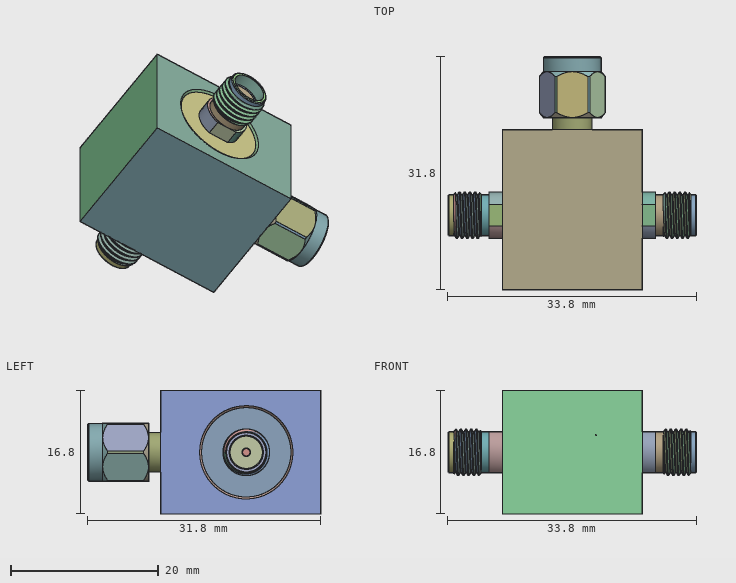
import cadquery as cq
import math

BODY_LENGTH = 19.05
BODY_DEPTH = 21.82
BODY_HEIGHT = 16.82
BODY_FRONT = 10.17

RECESS_RADIUS = 6.35
RECESS_DEPTH = 0.27

ROOT_OVERLAP = 0.68

OVERALL_LENGTH = 33.78
THREAD_RADIUS = 3.18
CORE_RADIUS = 2.8
TIP_CHAMFER = 0.15
COLLAR_END = 11.35
COLLAR_ACROSS_FLATS = 5.6
THREAD_START = 12.33
THREAD_END = 16.18
THREAD_PITCH = 0.7
THREAD_BASE = 0.57
THREAD_CREST = 0.15
THREAD_SINK = 0.07

BORE_RADIUS = 2.33
BORE_DEPTH = 1.85
BORE_FLOOR_CHAMFER = 0.15
CONTACT_RADIUS = 0.5
CONTACT_DEPTH = 1.0
CONTACT_CHAMFER = 0.07

PLUG_LENGTH = 9.93
NECK_RADIUS = 2.7
NUT_START = 1.6
NUT_END = 7.95
NUT_ACROSS_FLATS = 7.95
NUT_CORNER_RADIUS = 4.5
NUT_FACE_RADIUS = 3.92
NUT_CHAMFER_LENGTH = 0.7
SLEEVE_RADIUS = 3.95
SLEEVE_CHAMFER = 0.17

BODY_FACE = BODY_LENGTH / 2
BODY_BACK = BODY_DEPTH - BODY_FRONT
CONNECTOR_END = OVERALL_LENGTH / 2


def revolve_about_x(points):
    """Revolve a closed outline of (x, radius) points about the X axis."""
    return cq.Workplane("XY").polyline(points).close().revolve(360, (0, 0, 0), (1, 0, 0))


def revolve_about_y(points):
    """Revolve a closed outline of (radius, y) points about the Y axis."""
    return cq.Workplane("XY").polyline(points).close().revolve(360, (0, 0, 0), (0, 1, 0))


def make_body():
    body = cq.Workplane("XY").box(BODY_LENGTH, BODY_DEPTH, BODY_HEIGHT)
    return body.translate((0, BODY_DEPTH / 2 - BODY_FRONT, 0))


def make_recess():
    floor = BODY_FACE - RECESS_DEPTH
    return revolve_about_x([
        (floor, 0),
        (floor, RECESS_RADIUS - RECESS_DEPTH),
        (BODY_FACE, RECESS_RADIUS),
        (BODY_FACE, 0),
    ])


def make_thread():
    """Right-hand helical tooth about X, faded to nothing at both ends."""
    root_radius = CORE_RADIUS - THREAD_SINK
    flank = (THREAD_BASE - THREAD_CREST) / 2
    height = THREAD_RADIUS - CORE_RADIUS
    root_half = THREAD_BASE / 2 + THREAD_SINK * flank / height
    helix_length = THREAD_END - THREAD_START + 2 * THREAD_PITCH
    path = cq.Wire.makeHelix(THREAD_PITCH, helix_length, root_radius)
    tooth = (
        cq.Workplane("XZ")
        .polyline([
            (root_radius, -root_half),
            (root_radius, root_half),
            (THREAD_RADIUS, THREAD_CREST / 2),
            (THREAD_RADIUS, -THREAD_CREST / 2),
        ])
        .close()
        .sweep(path, isFrenet=True)
    )
    tooth = tooth.rotate((0, 0, 0), (0, 1, 0), 90)
    tooth = tooth.translate((THREAD_START - THREAD_PITCH, 0, 0))
    fade = 2 * height
    envelope = revolve_about_x([
        (THREAD_START, 0),
        (THREAD_START, CORE_RADIUS),
        (THREAD_START + fade, CORE_RADIUS + fade),
        (THREAD_END - fade, CORE_RADIUS + fade),
        (THREAD_END, CORE_RADIUS),
        (THREAD_END, 0),
    ])
    return tooth.intersect(envelope)


def make_socket():
    floor = CONNECTOR_END - BORE_DEPTH
    contact_mouth = CONTACT_RADIUS + CONTACT_CHAMFER
    return revolve_about_x([
        (floor - CONTACT_DEPTH, 0),
        (floor - CONTACT_DEPTH, CONTACT_RADIUS),
        (floor - CONTACT_CHAMFER, CONTACT_RADIUS),
        (floor, contact_mouth),
        (floor, BORE_RADIUS - BORE_FLOOR_CHAMFER),
        (floor + BORE_FLOOR_CHAMFER, BORE_RADIUS),
        (CONNECTOR_END, BORE_RADIUS),
        (CONNECTOR_END, 0),
    ])


def make_side_connector():
    """Connector on the +X side, rooted in the recess floor."""
    root = BODY_FACE - RECESS_DEPTH - ROOT_OVERLAP
    collar_length = COLLAR_END - root
    collar = cq.Workplane("YZ", origin=(root, 0, 0)).circle(THREAD_RADIUS).extrude(collar_length)
    flats = cq.Workplane("XY").box(OVERALL_LENGTH, OVERALL_LENGTH, COLLAR_ACROSS_FLATS)
    barrel = (
        cq.Workplane("YZ", origin=(root, 0, 0))
        .circle(CORE_RADIUS)
        .extrude(CONNECTOR_END - root)
        .faces(">X")
        .chamfer(TIP_CHAMFER)
    )
    return collar.intersect(flats).union(barrel).union(make_thread()).cut(make_socket())


def make_nut():
    """Hexagonal nut with cut corners and coned ends."""
    start = BODY_BACK + NUT_START
    end = BODY_BACK + NUT_END
    hexagon = (
        cq.Workplane("XZ", origin=(0, start, 0))
        .polygon(6, NUT_ACROSS_FLATS / math.cos(math.pi / 6))
        .extrude(start - end)
    )
    envelope = revolve_about_y([
        (0, start),
        (NUT_FACE_RADIUS, start),
        (NUT_CORNER_RADIUS, start + NUT_CHAMFER_LENGTH),
        (NUT_CORNER_RADIUS, end - NUT_CHAMFER_LENGTH),
        (NUT_FACE_RADIUS, end),
        (0, end),
    ])
    return hexagon.intersect(envelope)


def make_plug():
    tip = BODY_BACK + PLUG_LENGTH
    shank = revolve_about_y([
        (0, BODY_BACK - ROOT_OVERLAP),
        (NECK_RADIUS, BODY_BACK - ROOT_OVERLAP),
        (NECK_RADIUS, BODY_BACK + NUT_START),
        (SLEEVE_RADIUS, BODY_BACK + NUT_START),
        (SLEEVE_RADIUS, tip - SLEEVE_CHAMFER),
        (SLEEVE_RADIUS - SLEEVE_CHAMFER, tip),
        (0, tip),
    ])
    return shank.union(make_nut())


result = make_body().union(make_plug())
recess = make_recess()
connector = make_side_connector()
for turn in (0, 180):
    result = result.cut(recess.rotate((0, 0, 0), (0, 1, 0), turn))
    result = result.union(connector.rotate((0, 0, 0), (0, 1, 0), turn))